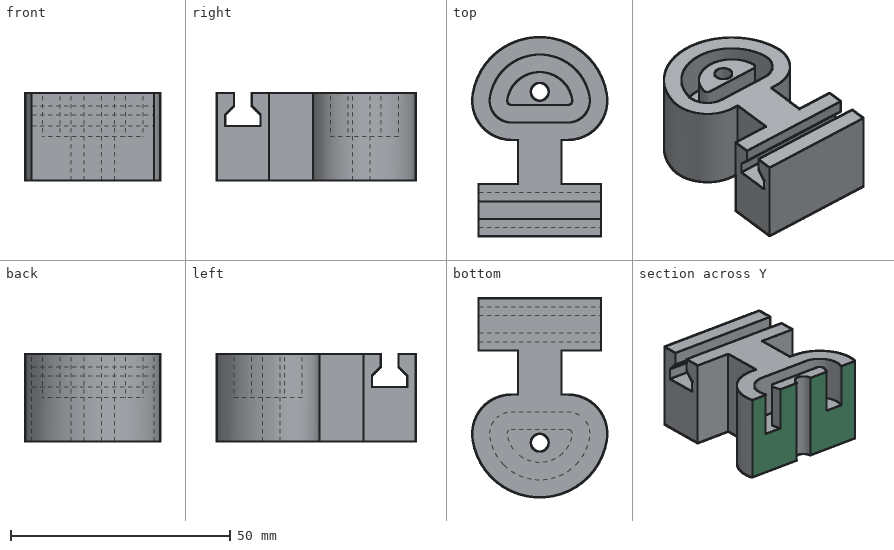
import cadquery as cq

total_length = 45.45
height = 20.0

core_radius = 7.5
core_corner_radius = 1.0
groove_width = 4.0
wall_thickness = 4.0
groove_depth = 10.0
hole_diameter = 4.0
hole_offset = 3.0

neck_width = 10.0
block_width = 28.0
block_length = 12.0

slot_mouth_width = 4.0
slot_inner_width = 8.0
slot_lip_depth = 3.0
slot_shoulder_depth = 5.0
slot_depth = 7.5

head_offset = groove_width + wall_thickness
front_y = core_radius + head_offset - total_length
block_back_y = front_y + block_length
slot_y = front_y + block_length / 2


def rounded_half_disc(offset, bottom_z, depth):
    """Extrude the core outline grown outward by an offset."""
    corner_radius = core_corner_radius + offset
    arc_radius = core_radius + offset
    centre_distance = core_radius - core_corner_radius
    corner_y = core_corner_radius
    corner_x = (centre_distance**2 - corner_y**2) ** 0.5
    tangent_x = corner_x * arc_radius / centre_distance
    tangent_y = corner_y * arc_radius / centre_distance

    dir_x = corner_x / centre_distance
    dir_y = corner_y / centre_distance - 1
    dir_length = (dir_x**2 + dir_y**2) ** 0.5
    middle_x = corner_x + corner_radius * dir_x / dir_length
    middle_y = corner_y + corner_radius * dir_y / dir_length

    return (
        cq.Workplane("XY", origin=(0, 0, bottom_z))
        .moveTo(-corner_x, -offset)
        .lineTo(corner_x, -offset)
        .threePointArc((middle_x, middle_y), (tangent_x, tangent_y))
        .threePointArc((0, arc_radius), (-tangent_x, tangent_y))
        .threePointArc((-middle_x, middle_y), (-corner_x, -offset))
        .close()
        .extrude(depth)
    )


def box_between(width, y_start, y_end):
    """Full-height box, centred in X, spanning the given Y range."""
    return (
        cq.Workplane("XY")
        .center(0, (y_start + y_end) / 2)
        .rect(width, y_end - y_start)
        .extrude(height)
    )


def rail_slot():
    """Slot with a narrow mouth, sloped shoulders and a wide flat floor."""
    half_mouth = slot_mouth_width / 2
    half_inner = slot_inner_width / 2
    return (
        cq.Workplane("YZ", origin=(0, slot_y, height))
        .polyline([
            (-half_mouth, 0),
            (-half_mouth, -slot_lip_depth),
            (-half_inner, -slot_shoulder_depth),
            (-half_inner, -slot_depth),
            (half_inner, -slot_depth),
            (half_inner, -slot_shoulder_depth),
            (half_mouth, -slot_lip_depth),
            (half_mouth, 0),
        ])
        .close()
        .extrude(block_width / 2, both=True)
    )


head = rounded_half_disc(head_offset, 0, height)
neck = box_between(neck_width, block_back_y, 0)
block = box_between(block_width, front_y, block_back_y)
body = head.union(neck).union(block)

groove_floor_z = height - groove_depth
groove = rounded_half_disc(groove_width, groove_floor_z, groove_depth).cut(
    rounded_half_disc(0, groove_floor_z, groove_depth)
)

hole = cq.Workplane("XY").center(0, hole_offset).circle(hole_diameter / 2).extrude(height)

result = body.cut(groove).cut(hole).cut(rail_slot())